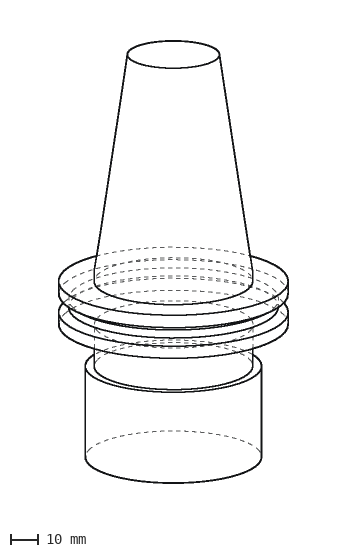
import cadquery as cq

total_height = 151.5
flange_diameter = 82.6
groove_diameter = 75.5
nose_diameter = 63.5
shank_diameter = 57.1

nose_top = 34.2
flange_bottom = 50.0
flange_top = 66.2
collar_height = 3.2
taper_bottom = flange_top + collar_height

taper_ratio = 7 / 24
taper_top_diameter = shank_diameter - taper_ratio * (total_height - taper_bottom)

lower_rim_height = 4.5
upper_rim_height = 4.7
groove_wall_height = 2.0
groove_bottom = flange_bottom + lower_rim_height
groove_top = flange_top - upper_rim_height


def make_holder_body():
    """Revolve the half outline, given as (radius, height), about the Z axis."""
    nose_radius = nose_diameter / 2
    shank_radius = shank_diameter / 2
    flange_radius = flange_diameter / 2
    groove_radius = groove_diameter / 2
    outline = [
        (0, 0),
        (nose_radius, 0),
        (nose_radius, nose_top),
        (shank_radius, nose_top),
        (shank_radius, flange_bottom),
        (flange_radius, flange_bottom),
        (flange_radius, groove_bottom),
        (groove_radius, groove_bottom + groove_wall_height),
        (groove_radius, groove_top - groove_wall_height),
        (flange_radius, groove_top),
        (flange_radius, flange_top),
        (shank_radius, flange_top),
        (shank_radius, taper_bottom),
        (taper_top_diameter / 2, total_height),
        (0, total_height),
    ]
    return cq.Workplane("XZ").polyline(outline).close().revolve(360, (0, 0, 0), (0, 1, 0))


result = make_holder_body()